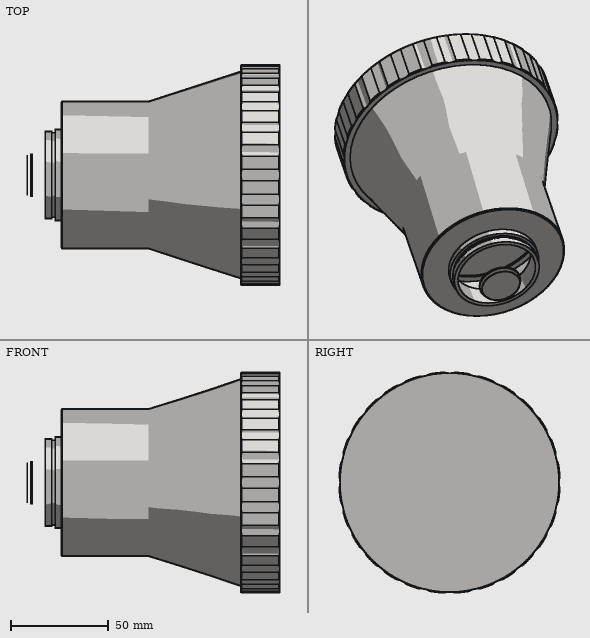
import cadquery as cq
import math

length = 130.3

front_disc_d = 20.1
front_disc_thickness = 0.2
rear_disc_x = 1.8
rear_disc_d = 21.6
rear_disc_thickness = 0.8

lip_x = 9.3
lip_d = 45.0
groove_x = 12.8
groove_d = 43.8
shoulder_x = 14.5
shoulder_d = 47.0

barrel_x = 17.6
barrel_d = 76.0
barrel_chamfer = 0.59
cone_x = 62.7
cone_end_d = 106.9

collar_x = 110.3
collar_d = 113.9
collar_chamfer = 0.5
flute_count = 28
flute_angle = 5.9
flute_depth = 0.5

bore_d = 41.0
chamber_x = 19.8
chamber_d = 71.0
seat_x = 41.7
recess_d = 64.4
recess_depth = 1.0
floor_radius = 325.8


def disc(start_x, diameter, thickness):
    return cq.Workplane("YZ").workplane(offset=start_x).circle(diameter / 2).extrude(thickness)


def revolve_about_x(outline):
    return outline.close().revolve(360, (0, 0, 0), (1, 0, 0))


def housing_blank():
    collar_r = collar_d / 2
    return revolve_about_x(
        cq.Workplane("XY")
        .moveTo(lip_x, 0)
        .lineTo(lip_x, lip_d / 2)
        .lineTo(groove_x, lip_d / 2)
        .lineTo(groove_x, groove_d / 2)
        .lineTo(shoulder_x, groove_d / 2)
        .lineTo(shoulder_x, shoulder_d / 2)
        .lineTo(barrel_x, shoulder_d / 2)
        .lineTo(barrel_x, barrel_d / 2 - barrel_chamfer)
        .lineTo(barrel_x + barrel_chamfer, barrel_d / 2)
        .lineTo(cone_x, barrel_d / 2)
        .lineTo(collar_x, cone_end_d / 2)
        .lineTo(collar_x, collar_r - collar_chamfer)
        .lineTo(collar_x + collar_chamfer, collar_r)
        .lineTo(length - collar_chamfer, collar_r)
        .lineTo(length, collar_r - collar_chamfer)
        .lineTo(length, 0)
    )


def bore_cutter():
    recess_x = seat_x + recess_depth
    recess_r = recess_d / 2
    sagitta = floor_radius - math.sqrt(floor_radius**2 - recess_r**2)
    return revolve_about_x(
        cq.Workplane("XY")
        .moveTo(lip_x, 0)
        .lineTo(lip_x, bore_d / 2)
        .lineTo(chamber_x, bore_d / 2)
        .lineTo(chamber_x, chamber_d / 2)
        .lineTo(seat_x, chamber_d / 2)
        .lineTo(seat_x, recess_r)
        .lineTo(recess_x, recess_r)
        .radiusArc((recess_x + sagitta, 0), floor_radius)
    )


def flute_cutters():
    collar_r = collar_d / 2
    half_chord = collar_r * math.sin(math.radians(flute_angle / 2))
    edge_r = collar_r * math.cos(math.radians(flute_angle / 2))
    drop = flute_depth - (collar_r - edge_r)
    flute_r = (half_chord**2 + drop**2) / (2 * drop)
    return (
        cq.Workplane("YZ")
        .workplane(offset=collar_x)
        .polarArray(edge_r - drop + flute_r, 0, 360, flute_count)
        .circle(flute_r)
        .extrude(length - collar_x)
    )


front_disc = disc(0, front_disc_d, front_disc_thickness)
rear_disc = disc(rear_disc_x, rear_disc_d, rear_disc_thickness)
housing = housing_blank().cut(bore_cutter()).cut(flute_cutters())

result = cq.Compound.makeCompound([front_disc.val(), rear_disc.val(), housing.val()])